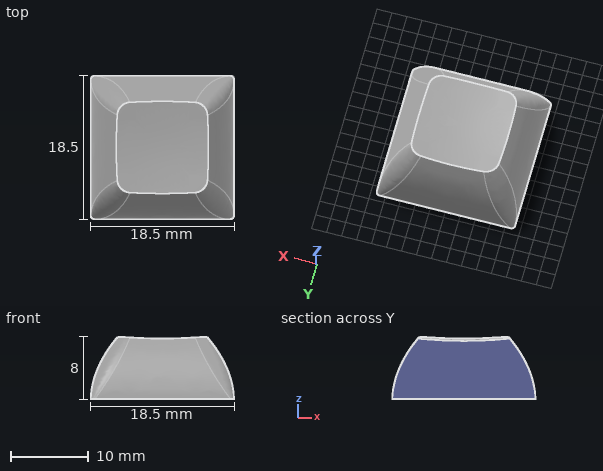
import cadquery as cq
import math

base_width = 18.5
height = 8.0
base_corner_radius = 0.5

waist_width = 16.64
waist_corner_radius = 2.2

top_width = 11.56
top_corner_radius = 1.6

dish_depth = 0.5


def rounded_square(width, corner_radius, level):
    """Square section with round corners, parallel to the base at the given level."""
    sketch = cq.Sketch().rect(width, width).vertices().fillet(corner_radius)
    return sketch.moved(cq.Location(cq.Vector(0, 0, level)))


def make_body():
    """Bulging cap blended through the base, waist and top sections."""
    sections = [
        rounded_square(base_width, base_corner_radius, 0),
        rounded_square(waist_width, waist_corner_radius, height / 2),
        rounded_square(top_width, top_corner_radius, height),
    ]
    return cq.Workplane("XY").placeSketch(*sections).loft()


def make_dish():
    """Ball whose surface meets the four corners of the top and dips at its centre."""
    corner_inset = (math.sqrt(2) - 1) * top_corner_radius
    rim_radius = top_width / math.sqrt(2) - corner_inset
    ball_radius = (rim_radius**2 + dish_depth**2) / (2 * dish_depth)
    ball_center_level = height - dish_depth + ball_radius
    return cq.Workplane("XY").sphere(ball_radius).translate((0, 0, ball_center_level))


result = make_body().cut(make_dish())